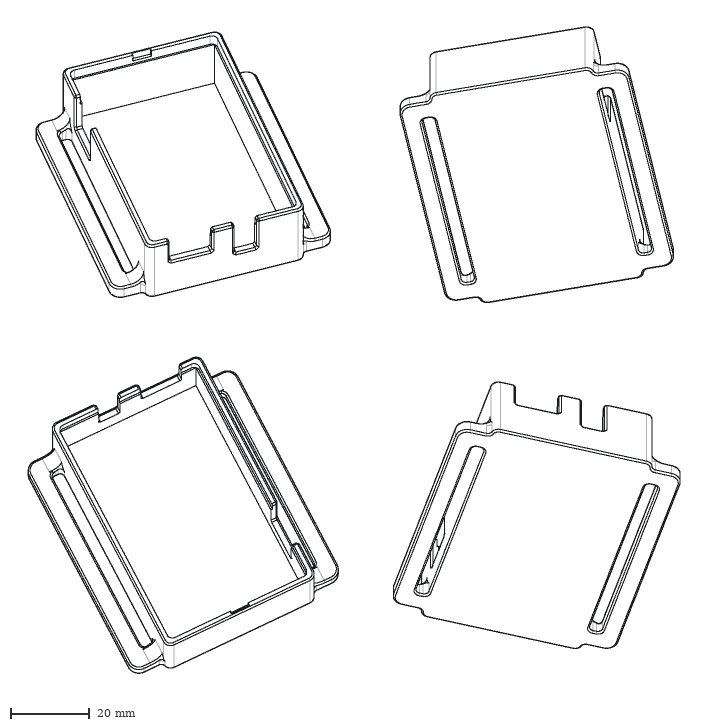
import cadquery as cq
length = 66.5
width = 42.4
height = 18.9
corner_radius = 2.0
edge_chamfer = 0.5
wall = 2.0
floor_thickness = 1.8

rim_wall = 1.5
seat_depth = 3.0
seat_radius = 1.5

overall_width = 59.1
loop_length = 62.0
loop_thickness = 4.0
loop_radius = 3.0
bar_width = 5.0
blend_radius = 1.2
ramp_radius = 3.45
slot_width = (overall_width - width) / 2 - bar_width
slot_length = loop_length - 2 * bar_width
ramp_top = loop_thickness + ramp_radius

front_openings = [(-16.95, 11.5, 7.25)]
end_openings = [(5.25, 6.05, 8.65), (-9.45, 11.45, 11.6)]

latch_length = 5.0
latch_skin = 0.7
latch_depth = 2.0

overshoot = 0.65


def rounded_block(size_x, size_y, size_z, radius):
    """Upright block standing on Z = 0 with rounded vertical corners."""
    block = cq.Workplane("XY").box(size_x, size_y, size_z, centered=(True, True, False))
    return block.edges("|Z").fillet(radius)


def base_outline(thickness):
    """Box footprint and both slotted strap loops, blended together, as a slab."""
    footprint = rounded_block(length, width, thickness, corner_radius)
    loops = rounded_block(loop_length, overall_width, thickness, loop_radius)
    slab = footprint.union(loops)
    x, y = loop_length / 2, width / 2
    around_box = cq.selectors.BoxSelector(
        (-x - overshoot, -y - overshoot, 0),
        (x + overshoot, y + overshoot, thickness),
    )
    slab = slab.edges("|Z").edges(around_box).fillet(blend_radius)
    slot = rounded_block(slot_length, slot_width, thickness, blend_radius)
    for side in (-1, 1):
        slab = slab.cut(slot.translate((0, side * (width + slot_width) / 2, 0)))
    return slab


def ramp_spaces():
    """Four ramp envelopes: blocks hollowed by a cylinder with 45 degree flared ends."""
    block_length = bar_width + 2 * blend_radius
    flat = bar_width / 2 - edge_chamfer
    flare = blend_radius + edge_chamfer + overshoot
    spool = (
        cq.Workplane("XY")
        .polyline([
            (-flat - flare, 0),
            (-flat - flare, ramp_radius + flare),
            (-flat, ramp_radius),
            (flat, ramp_radius),
            (flat + flare, ramp_radius + flare),
            (flat + flare, 0),
        ])
        .close()
        .revolve(360, (0, 0, 0), (1, 0, 0))
        .translate((0, ramp_radius, ramp_top))
    )
    block = (
        cq.Workplane("XY")
        .box(block_length, ramp_radius + overshoot, ramp_top, centered=(True, False, False))
        .translate((0, -overshoot, 0))
    )
    ramp = block.cut(spool).translate(((loop_length - bar_width) / 2, width / 2, 0))
    ramps = ramp.union(ramp.mirror("YZ"))
    return ramps.union(ramps.mirror("XZ"))


def outer_shape():
    """Solid box with its strap loops, before hollowing."""
    box = rounded_block(length, width, height, corner_radius)
    box = box.faces(">Z").edges().chamfer(edge_chamfer)
    loops = base_outline(loop_thickness).faces(">Z").edges().chamfer(edge_chamfer)
    ramps = base_outline(ramp_top).intersect(ramp_spaces())
    shape = loops.union(ramps).union(box)
    return shape.faces("<Z").edges().chamfer(edge_chamfer)


def cavity():
    """Sharp-cornered cavity topped by the wider, rounded lid seat."""
    pocket = (
        cq.Workplane("XY")
        .workplane(offset=floor_thickness)
        .rect(length - 2 * wall, width - 2 * wall)
        .extrude(height - floor_thickness)
    )
    seat = rounded_block(length - 2 * rim_wall, width - 2 * rim_wall, seat_depth, seat_radius)
    return pocket.union(seat.translate((0, 0, height - seat_depth)))


def wall_opening(centre, clear_width, sill, face_offset):
    """Open-topped cutter through a wall facing -Y, with chamfered corners and outer edges."""
    half = clear_width / 2
    c = edge_chamfer
    right_side = [
        (half - c, sill),
        (half, sill + c),
        (half, height - c),
        (half + 2 * c, height + c),
    ]
    left_side = [(-x, z) for x, z in reversed(right_side)]
    outline = cq.Workplane("XZ").polyline(right_side + left_side).close()
    outer_edges = outline.offset2D(c, "intersection").extrude(-c, taper=45)
    passage = outline.toPending().extrude(-wall - overshoot)
    return passage.union(outer_edges).translate((centre, -face_offset, 0))


def latch_recess():
    """Shallow recess in the -X rim, open to the top and to the lid seat."""
    depth_in_wall = rim_wall - latch_skin + overshoot
    return (
        cq.Workplane("XY")
        .box(depth_in_wall, latch_length, latch_depth, centered=(False, True, False))
        .translate((-length / 2 + latch_skin, 0, height - latch_depth))
    )


result = outer_shape().cut(cavity()).cut(latch_recess())
for opening in front_openings:
    result = result.cut(wall_opening(*opening, width / 2))
for opening in end_openings:
    cutter = wall_opening(*opening, length / 2).rotate((0, 0, 0), (0, 0, 1), 90)
    result = result.cut(cutter)